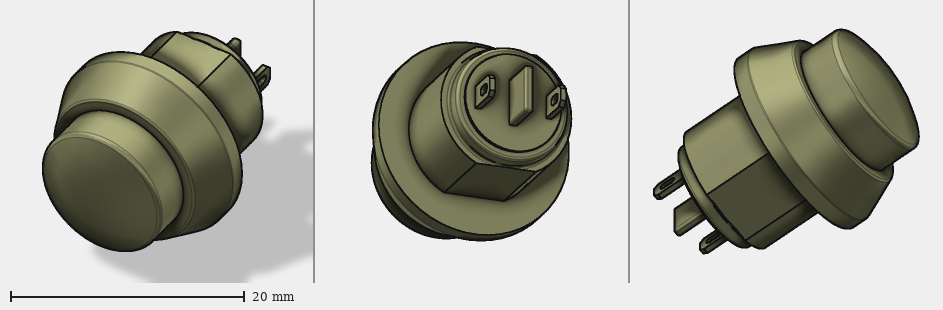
import cadquery as cq


flange_diameter = 17.5
flange_thickness = 1.45
bezel_front_diameter = 14.25
bezel_depth = 5.13
bezel_edge_radius = 0.25

button_diameter = 12.1
button_reach = 10.14
dome_radius = 13.4
button_edge_radius = 0.5
bore_diameter = 12.2
groove_depth = 1.0

barrel_diameter = 12.0
barrel_length = 7.47
flat_spacing = 10.67

cap_base_diameter = 10.5
cap_end_diameter = 10.25
cap_end = 8.87
cap_edge_radius = 0.32
cap_base_radius = 0.25
disc_diameter = 8.8
disc_end = 9.12

terminal_offset = 3.25
terminal_thickness = 0.5
terminal_width = 2.0
terminal_end = 12.52
terminal_chamfer = 0.45
eye_length = 1.5
eye_width = 0.8
eye_setback = 1.43

blade_thickness = 0.8
blade_width = 4.2
blade_end = 12.8
blade_edge_radius = 0.24


def cylinder(diameter, y_start, y_end):
    """Cylinder about the Y axis between two Y positions."""
    disc = cq.Workplane("XZ", origin=(0, y_start, 0)).circle(diameter / 2)
    return disc.extrude(y_start - y_end)


def revolve_about_y(profile):
    """Full turn of a closed XY profile about the Y axis."""
    return profile.close().revolve(360, (0, 0, 0), (0, 1, 0))


def block(x_size, z_size, y_start, y_end, x_center=0):
    """Box centred on the axis plane Z = 0, running from y_start to y_end."""
    middle = (x_center, (y_start + y_end) / 2, 0)
    return cq.Workplane("XY", origin=middle).box(x_size, y_end - y_start, z_size)


def make_bezel():
    """Flange whose front tapers in as a cone, with a groove around the button."""
    profile = (
        cq.Workplane("XY")
        .lineTo(flange_diameter / 2, 0)
        .lineTo(flange_diameter / 2, -flange_thickness)
        .lineTo(bezel_front_diameter / 2, -bezel_depth)
        .lineTo(0, -bezel_depth)
    )
    bezel = revolve_about_y(profile)
    bezel = bezel.faces("%CONE").edges("%CIRCLE").fillet(bezel_edge_radius)
    return bezel.cut(cylinder(bore_diameter, -bezel_depth, groove_depth - bezel_depth))


def make_button():
    """Round button with a spherical front and a rounded rim."""
    dome_center = (0, dome_radius - button_reach, 0)
    dome = cq.Workplane("XY", origin=dome_center).sphere(dome_radius)
    button = cylinder(button_diameter, -button_reach, 0).intersect(dome)
    return button.faces("%CYLINDER").edges("<Y").fillet(button_edge_radius)


def make_housing():
    """Barrel and tapered cap, trimmed by the two flats, with the base disc behind."""
    profile = (
        cq.Workplane("XY")
        .lineTo(barrel_diameter / 2, 0)
        .lineTo(barrel_diameter / 2, barrel_length)
        .lineTo(cap_base_diameter / 2, barrel_length)
        .lineTo(cap_end_diameter / 2, cap_end)
        .lineTo(0, cap_end)
    )
    housing = revolve_about_y(profile)
    housing = housing.faces("%CONE").edges(">Y").fillet(cap_edge_radius)
    housing = housing.faces("%CONE").edges("<Y").fillet(cap_base_radius)
    housing = housing.intersect(block(barrel_diameter, flat_spacing, 0, cap_end))
    return housing.union(cylinder(disc_diameter, barrel_length, disc_end))


def make_terminal(x_center):
    """Flat solder tag with chamfered corners and a slotted eye."""
    tag = block(terminal_thickness, terminal_width, barrel_length, terminal_end, x_center)
    tag = tag.faces(">Y").edges("|X").chamfer(terminal_chamfer)
    eye = (
        cq.Workplane("YZ", origin=(x_center, terminal_end - eye_setback, 0))
        .slot2D(eye_length, eye_width)
        .extrude(terminal_thickness, both=True)
    )
    return tag.cut(eye)


def make_blade():
    """Central divider with rounded long edges and end."""
    blade = block(blade_thickness, blade_width, barrel_length, blade_end)
    return blade.edges("|Y or >Y").fillet(blade_edge_radius)


result = make_bezel().union(make_button()).union(make_housing()).union(make_blade())
for side in (-1, 1):
    result = result.union(make_terminal(side * terminal_offset))